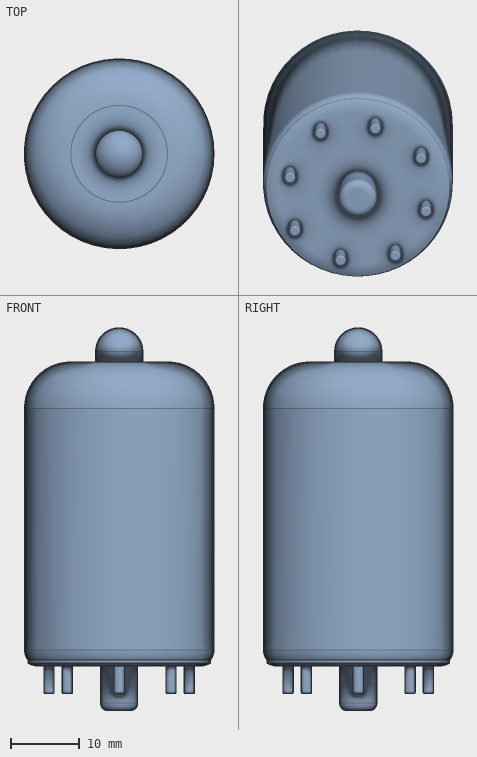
import cadquery as cq
import math

bulb_radius = 27.58 / 2
shoulder_radius = 6.75
dome_top = 44.24
tip_radius = 6.89 / 2
bulb_top = 49.2
heel_top = 2.35
heel_radius = 2.3

rim_radius = 26.58 / 2
rim_top = 0.9
rim_bottom = 0.45
edge_radius = 3.6

total_height = 55.66
spigot_bottom = bulb_top - total_height
spigot_radius = 5.4 / 2
spigot_fillet = 1.1

pin_diameter = 1.5
pin_count = 8
pin_length = 4.0
pin_fillet = 0.25
axis_pin_distance = 10.2
corner_pin_offset = 7.54


def arc_offset(radius, drop):
    """Horizontal distance from an arc's centre to its point that lies drop below or above the centre."""
    return math.sqrt(radius**2 - drop**2)


def arc_middle(centre, radius, start, end):
    """Middle point of the arc that runs from start to end around centre."""
    start_angle = math.atan2(start[1] - centre[1], start[0] - centre[0])
    end_angle = math.atan2(end[1] - centre[1], end[0] - centre[0])
    middle = (start_angle + end_angle) / 2
    return centre[0] + radius * math.cos(middle), centre[1] + radius * math.sin(middle)


def make_bulb():
    """Solid bulb with a rounded heel, a rounded shoulder and a domed tip."""
    heel_centre = (bulb_radius - heel_radius, heel_top)
    heel_start = (bulb_radius, heel_top)
    heel_end = (heel_centre[0] + arc_offset(heel_radius, heel_top - rim_top), rim_top)
    shoulder_centre = (bulb_radius - shoulder_radius, dome_top - shoulder_radius)
    shoulder_start = (bulb_radius, shoulder_centre[1])
    shoulder_end = (shoulder_centre[0], dome_top)
    tip_centre = (0, bulb_top - tip_radius)
    tip_start = (tip_radius, tip_centre[1])
    tip_end = (0, bulb_top)
    profile = (
        cq.Workplane("XZ")
        .moveTo(0, rim_top)
        .lineTo(*heel_end)
        .threePointArc(arc_middle(heel_centre, heel_radius, heel_end, heel_start), heel_start)
        .lineTo(*shoulder_start)
        .threePointArc(
            arc_middle(shoulder_centre, shoulder_radius, shoulder_start, shoulder_end), shoulder_end
        )
        .lineTo(tip_radius, dome_top)
        .lineTo(*tip_start)
        .threePointArc(arc_middle(tip_centre, tip_radius, tip_start, tip_end), tip_end)
        .close()
    )
    return profile.revolve(360, (0, 0, 0), (0, 1, 0))


def make_base_disc():
    """Disc with a short straight rim and a shallow arc down to its flat underside."""
    edge_start = (rim_radius, rim_bottom)
    edge_centre = (rim_radius - arc_offset(edge_radius, edge_radius - rim_bottom), edge_radius)
    edge_end = (edge_centre[0], 0)
    profile = (
        cq.Workplane("XZ")
        .lineTo(*edge_end)
        .threePointArc(arc_middle(edge_centre, edge_radius, edge_end, edge_start), edge_start)
        .lineTo(rim_radius, rim_top)
        .lineTo(0, rim_top)
        .close()
    )
    return profile.revolve(360, (0, 0, 0), (0, 1, 0))


def make_spigot():
    spigot = cq.Workplane("XY").workplane(offset=spigot_bottom).circle(spigot_radius)
    return spigot.extrude(rim_top - spigot_bottom).faces("<Z").edges().fillet(spigot_fillet)


def make_pin(x, y):
    pin = cq.Workplane("XY", origin=(x, y, -pin_length)).circle(pin_diameter / 2)
    return pin.extrude(pin_length + rim_top).faces("<Z").edges().fillet(pin_fillet)


def make_base():
    base = make_base_disc().union(make_spigot())
    corner_pin_distance = corner_pin_offset * math.sqrt(2)
    for index in range(pin_count):
        angle = 2 * math.pi * index / pin_count
        distance = axis_pin_distance if index % 2 == 0 else corner_pin_distance
        base = base.union(make_pin(distance * math.cos(angle), distance * math.sin(angle)))
    return base


bulb = make_bulb()
base = make_base()
result = cq.Compound.makeCompound([bulb.val(), *base.solids().vals()])